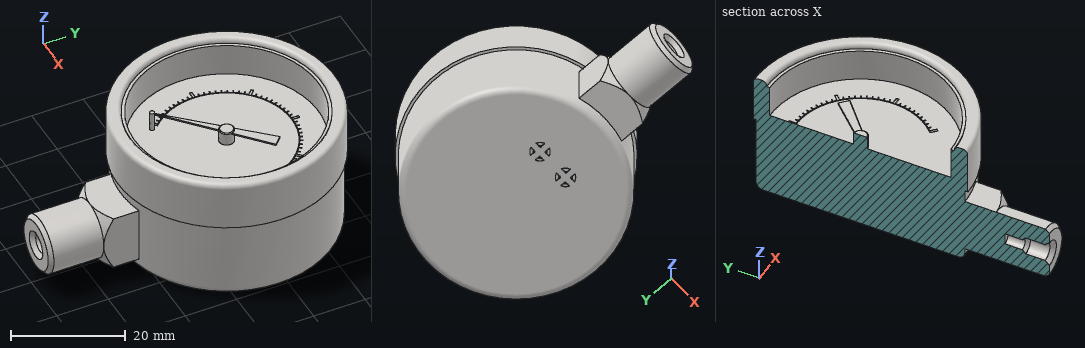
import cadquery as cq
import math


case_radius = 41.05 / 2
case_height = 25.4
back_fillet = 1.4

bezel_radius = 42.2 / 2
bezel_height = 9.65
bezel_fillet = 1.05
lip_radius = 19.35
lip_round = 1.0
ledge_drop = 1.05

well_radius = 35.55 / 2
dial_z = case_height - 7.5

hub_radius = 2.8 / 2
hub_height = 2.6
hub_chamfer = 0.2
pointer_angle = 225
pointer_tip_reach = 13.65
pointer_tail_reach = 9.4
pointer_tip_width = 0.05
pointer_tail_width = 2.15
pointer_thickness = 0.3

pin_radius = 0.9 / 2
pin_x = -8.45
pin_y = -10.3
pin_height = 3.8

scale_sweep = 270
scale_radius = 12.6
scale_band = 0.1
scale_rise = 0.05
minor_per_major = 10
minor_step = 4.5
minor_reach = 13.25
minor_width = 0.1
major_reach = 14.1
major_width = 0.45

stem_width = 11.05
stem_radius = stem_width / 2
stem_z = 7.9
overall_length = 58.15
stem_end = overall_length - bezel_radius
shoulder_y = 26.65
shoulder_cone_length = 1.9
spigot_chamfer = 0.75
shank_embed = 2.9
stem_root = case_radius - shank_embed

bore_mouth_radius = 5.25 / 2
bore_radius = 3.55 / 2
bore_depth = 4.65
orifice_radius = 2.2 / 2
orifice_depth = 8.7

screw_base_radius = 3.55 / 2
screw_top_radius = 2.4 / 2
screw_height = 0.25
screw_step = 0.1
screw_slot = 1.2
screw_x = 3.3
screw_y = -8.6

overlap = 0.1


def make_case():
    """Revolved case and bezel with the open dial well."""
    bezel_base = case_height - bezel_height
    curve = math.sqrt(0.5)
    bezel_center = bezel_radius - bezel_fillet
    back_center = case_radius - back_fillet
    lip_inner = lip_radius - lip_round
    profile = (
        cq.Workplane("XZ")
        .lineTo(back_center, 0)
        .threePointArc(
            (back_center + back_fillet * curve, back_fillet * (1 - curve)),
            (case_radius, back_fillet),
        )
        .lineTo(case_radius, bezel_base)
        .lineTo(bezel_radius, bezel_base)
        .lineTo(bezel_radius, case_height - bezel_fillet)
        .threePointArc(
            (bezel_center + bezel_fillet * curve, case_height - bezel_fillet * (1 - curve)),
            (bezel_center, case_height),
        )
        .lineTo(lip_radius, case_height)
        .threePointArc(
            (lip_radius - lip_round * curve, case_height - lip_round * (1 - curve)),
            (lip_inner, case_height - lip_round),
        )
        .lineTo(lip_inner, case_height - ledge_drop)
        .lineTo(well_radius, case_height - ledge_drop)
        .lineTo(well_radius, dial_z)
        .lineTo(0, dial_z)
        .close()
    )
    return profile.revolve(360, (0, 0, 0), (0, 1, 0))


def revolve_about_stem(points):
    """Revolve (radius, distance from the case axis) points about the stem axis."""
    outline = [(radius, -distance) for radius, distance in points]
    solid = cq.Workplane("XY").polyline(outline).close().revolve(360, (0, 0, 0), (0, 1, 0))
    return solid.translate((0, 0, stem_z))


def make_stem():
    """Square shank with its corners coned off, and the chamfered spigot."""
    corner_radius = stem_radius * math.sqrt(2)
    shank_length = shoulder_y - stem_root
    shank = cq.Workplane("XY").box(stem_width, shank_length, stem_width)
    shank = shank.translate((0, -(stem_root + shoulder_y) / 2, stem_z))
    turned = revolve_about_stem([
        (0, stem_root),
        (corner_radius, stem_root),
        (corner_radius, shoulder_y - shoulder_cone_length),
        (stem_radius, shoulder_y),
        (0, shoulder_y),
    ])
    spigot = revolve_about_stem([
        (0, shoulder_y - overlap),
        (stem_radius, shoulder_y - overlap),
        (stem_radius, stem_end - spigot_chamfer),
        (stem_radius - spigot_chamfer, stem_end),
        (0, stem_end),
    ])
    return shank.intersect(turned).union(spigot)


def make_bore():
    """Countersunk bore that tapers at its foot into a blind orifice."""
    mouth_depth = bore_mouth_radius - bore_radius
    taper_depth = bore_radius - orifice_radius
    return revolve_about_stem([
        (0, stem_end),
        (bore_mouth_radius, stem_end),
        (bore_radius, stem_end - mouth_depth),
        (bore_radius, stem_end - bore_depth),
        (orifice_radius, stem_end - bore_depth - taper_depth),
        (orifice_radius, stem_end - orifice_depth),
        (0, stem_end - orifice_depth),
    ])


def make_tick(angle, reach, width):
    """Radial bar from the scale radius out to the given reach."""
    length = reach - scale_radius
    tick = cq.Workplane("XY").box(length, width, scale_rise + overlap)
    tick = tick.translate((scale_radius + length / 2, 0, 0))
    tick = tick.rotate((0, 0, 0), (0, 0, 1), angle)
    return tick.translate((0, 0, dial_z + (scale_rise - overlap) / 2))


def make_scale():
    """Arc band with long and short graduation ticks, open at the bottom."""
    start_angle = 90 - scale_sweep / 2
    band_outline = (
        cq.Workplane("XZ")
        .center(scale_radius + scale_band / 2, dial_z + (scale_rise - overlap) / 2)
        .rect(scale_band, scale_rise + overlap)
    )
    axis_x = -scale_radius - scale_band / 2
    scale = band_outline.revolve(scale_sweep, (axis_x, 0, 0), (axis_x, 1, 0))
    scale = scale.rotate((0, 0, 0), (0, 0, 1), start_angle)
    for index in range(round(scale_sweep / minor_step) + 1):
        angle = start_angle + index * minor_step
        if index % minor_per_major == 0:
            tick = make_tick(angle, major_reach, major_width)
        else:
            tick = make_tick(angle, minor_reach, minor_width)
        scale = scale.union(tick)
    return scale


def make_pointer():
    """Hub standing on the dial, carrying the tapered pointer."""
    hub = (
        cq.Workplane("XY", origin=(0, 0, dial_z - overlap))
        .circle(hub_radius)
        .extrude(hub_height + overlap)
        .faces(">Z")
        .chamfer(hub_chamfer)
    )
    pointer_base = dial_z + hub_height - hub_chamfer - pointer_thickness
    blade = (
        cq.Workplane("XY", origin=(0, 0, pointer_base))
        .polyline([
            (-pointer_tail_reach, -pointer_tail_width / 2),
            (pointer_tip_reach, -pointer_tip_width / 2),
            (pointer_tip_reach, pointer_tip_width / 2),
            (-pointer_tail_reach, pointer_tail_width / 2),
        ])
        .close()
        .extrude(pointer_thickness)
        .rotate((0, 0, 0), (0, 0, 1), pointer_angle)
    )
    return hub.union(blade)


def make_stop_pin():
    pin = cq.Workplane("XY", origin=(pin_x, pin_y, dial_z - overlap)).circle(pin_radius)
    return pin.extrude(pin_height + overlap)


def make_screw_head(x, y):
    """Low stepped head below the back, cut by a cross slot."""
    head = (
        cq.Workplane("XY")
        .circle(screw_base_radius)
        .extrude(-screw_step)
        .faces("<Z")
        .workplane()
        .circle(screw_top_radius)
        .extrude(screw_height - screw_step)
    )
    slot_length = 2 * screw_base_radius
    slot_box = cq.Workplane("XY").box(slot_length, screw_slot, 2 * screw_height)
    head = head.cut(slot_box).cut(slot_box.rotate((0, 0, 0), (0, 0, 1), 90))
    return head.translate((x, y, 0))


result = make_case().union(make_stem()).cut(make_bore())
result = result.union(make_scale()).union(make_pointer()).union(make_stop_pin())
for side in (-1, 1):
    result = result.union(make_screw_head(side * screw_x, screw_y))